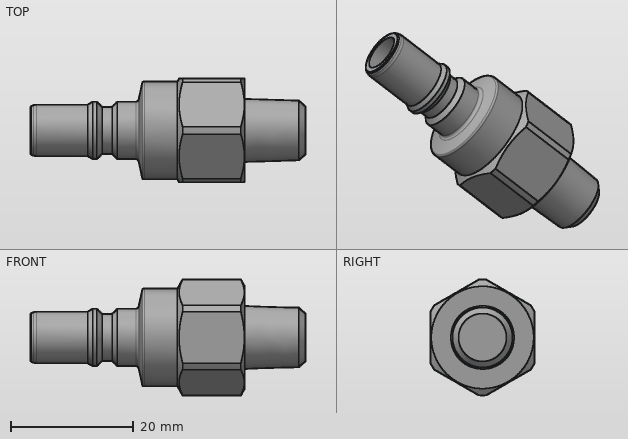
import cadquery as cq
import math

total_length = 45.0

rod_radius = 8.45 / 2
nose_face_radius = 7.6 / 2
nose_edge_length = 0.2
nose_edge_radius = 4.0
nose_bevel_end = 0.45
nose_bevel_radius = 4.15
nose_taper_end = 0.95
rod_end = 9.35

collar_radius = 9.4 / 2
collar_start = 10.15
collar_end = 10.9
groove_radius = 3.85
groove_chamfer = collar_radius - groove_radius
groove_start = collar_end + groove_chamfer
groove_end = 13.35
shank_start = groove_end + groove_chamfer
shank_end = 17.2

body_radius = 16.0 / 2
body_start = 18.6
body_edge_radius = 0.3
shoulder_foot_x = 17.75
shoulder_foot_radius = 5.25
shoulder_slope = math.radians(12)
shoulder_rim_radius = body_radius - 0.25
shoulder_rim_x = shoulder_foot_x + (shoulder_rim_radius - shoulder_foot_radius) * math.tan(shoulder_slope)

hex_start = 24.05
hex_end = 35.05
hex_width = 17.0
hex_corner_radius = 19.0 / 2
hex_chamfer_slope = math.radians(30)
hex_front_radius = body_radius
hex_back_radius = 8.35

tail_radius = 5.18
tail_taper = 1 / 32
tail_chamfer_start = 43.88
tail_chamfer_radius = tail_radius - (tail_chamfer_start - hex_end) * tail_taper
tail_end_radius = 3.9

bore_radius = 6.0 / 2
valve_base_radius = 5.3 / 2
valve_step_radius = 3.7 / 2
valve_cone_radius = 2.5 / 2
valve_tip_radius = 0.248
valve_tip_x = 2.15
valve_cone_x = 2.75
valve_step_x = 3.35
bore_depth = 3.85


def revolve_about_x(profile):
    """Turn a closed (X, radius) profile a full turn about the X axis."""
    return profile.close().revolve(360, (0, 0, 0), (1, 0, 0))


def make_turned_body():
    profile = (
        cq.Workplane("XY")
        .lineTo(0, nose_face_radius)
        .lineTo(nose_edge_length, nose_edge_radius)
        .lineTo(nose_bevel_end, nose_bevel_radius)
        .lineTo(nose_taper_end, rod_radius)
        .lineTo(rod_end, rod_radius)
        .lineTo(collar_start, collar_radius)
        .lineTo(collar_end, collar_radius)
        .lineTo(groove_start, groove_radius)
        .lineTo(groove_end, groove_radius)
        .lineTo(shank_start, collar_radius)
        .lineTo(shank_end, collar_radius)
        .tangentArcPoint((shoulder_foot_x, shoulder_foot_radius), relative=False)
        .lineTo(shoulder_rim_x, shoulder_rim_radius)
        .radiusArc((body_start, body_radius), body_edge_radius)
        .lineTo(hex_start, body_radius)
        .lineTo(hex_end, body_radius)
        .lineTo(hex_end, tail_radius)
        .lineTo(tail_chamfer_start, tail_chamfer_radius)
        .lineTo(total_length, tail_end_radius)
        .lineTo(total_length, 0)
    )
    return revolve_about_x(profile)


def make_hexagon():
    prism = (
        cq.Workplane("YZ", origin=(hex_start, 0, 0))
        .polygon(6, hex_width, circumscribed=True)
        .extrude(hex_end - hex_start)
    )
    front_chamfer = (hex_corner_radius - hex_front_radius) * math.tan(hex_chamfer_slope)
    back_chamfer = (hex_corner_radius - hex_back_radius) * math.tan(hex_chamfer_slope)
    envelope = (
        cq.Workplane("XY")
        .moveTo(hex_start, 0)
        .lineTo(hex_start, hex_front_radius)
        .lineTo(hex_start + front_chamfer, hex_corner_radius)
        .lineTo(hex_end - back_chamfer, hex_corner_radius)
        .lineTo(hex_end, hex_back_radius)
        .lineTo(hex_end, 0)
    )
    return prism.intersect(revolve_about_x(envelope))


def make_bore():
    profile = (
        cq.Workplane("XY")
        .lineTo(0, bore_radius)
        .lineTo(bore_depth, bore_radius)
        .lineTo(bore_depth, valve_base_radius)
        .lineTo(valve_step_x, valve_step_radius)
        .lineTo(valve_cone_x, valve_cone_radius)
        .lineTo(valve_tip_x, valve_tip_radius)
        .lineTo(valve_tip_x, 0)
    )
    return revolve_about_x(profile)


result = make_turned_body().union(make_hexagon()).cut(make_bore())